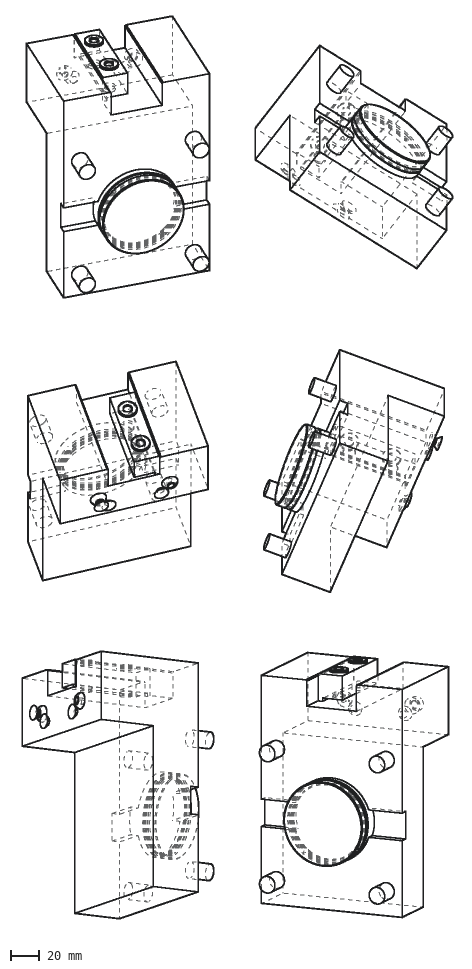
import cadquery as cq


body_length = 79.0
body_width = 108.0
body_height = 163.4
jaw_height = 48.7
leg_thickness = 36.4

channel_width = 37.7
channel_depth = 18.9
channel_chamfer = 0.8
channel_floor = body_height - channel_depth

block_width = 18.7
block_length = 59.8
block_setback = 0.5
block_rise = 0.7
block_gap = 2.3
block_foot_width = 3.5
block_chamfer = 0.58
clamp_screw_first_x = 14.5
clamp_screw_pitch = 32.0
clamp_screw_y = -9.1
clamp_shank_diameter = 8.6
clamp_head_diameter = 13.2
clamp_head_height = 1.5
clamp_head_chamfer = 0.3
clamp_socket_diameter = 6.3
clamp_socket_depth = 1.3

boss_z = 64.9
boss_radius = 30.1
boss_length = 15.0
boss_chamfer = 0.7
groove_start = 4.6
groove_width = 3.8
ring_thickness = 3.3
ring_seat = 0.2
groove_depth = ring_thickness - ring_seat
key_slot_height = 19.7
key_slot_depth = 6.0

pin_diameter = 12.0
pin_length = 16.2
pin_spacing_y = 84.1
pin_spacing_z = 94.0

nozzle_y = 26.0
nozzle_z = 132.9
dome_radius = 5.8
dome_height = 3.3
dome_tip_radius = 3.0
dome_bulge_radius = 5.0
dome_bulge_height = 2.0
dome_socket_diameter = 4.3
dome_socket_depth = 5.0
nozzle_reach = 7.5
neck_radius = 2.6
flare_radius = 5.1
flare_length = 3.0
neck_length = nozzle_reach - flare_length - dome_height
side_flare_y = 19.2
side_flare_z = 126.1


def box(x_range, y_range, z_range):
    """Axis-aligned block between the given limits."""
    size = [high - low for low, high in (x_range, y_range, z_range)]
    corner = (x_range[0], y_range[0], z_range[0])
    return cq.Workplane("XY").box(*size, centered=False).translate(corner)


def rod(x_start, x_end, y, z, diameter):
    """Round bar along X."""
    plane = cq.Workplane("YZ", origin=(x_start, y, z))
    return plane.circle(diameter / 2).extrude(x_end - x_start)


def make_body():
    outline = [
        (0, body_height),
        (body_length, body_height),
        (body_length, 0),
        (body_length - leg_thickness, 0),
        (body_length - leg_thickness, body_height - jaw_height),
        (0, body_height - jaw_height),
    ]
    body = cq.Workplane("XZ").polyline(outline).close().extrude(body_width / 2, both=True)

    half_channel = channel_width / 2
    half_mouth = half_channel + channel_chamfer
    channel_outline = [
        (-half_channel, channel_floor),
        (half_channel, channel_floor),
        (half_channel, body_height - channel_chamfer),
        (half_mouth, body_height),
        (-half_mouth, body_height),
        (-half_channel, body_height - channel_chamfer),
    ]
    channel = cq.Workplane("YZ").polyline(channel_outline).close().extrude(body_length)

    key_slot = box(
        (body_length - key_slot_depth, body_length),
        (-body_width / 2, body_width / 2),
        (boss_z - key_slot_height / 2, boss_z + key_slot_height / 2),
    )
    return body.cut(channel).cut(key_slot)


def make_clamp_block():
    """Block against the -Y channel wall, standing on a narrow foot along that wall."""
    wall_y = -channel_width / 2
    inner_y = wall_y + block_width
    foot_y = wall_y + block_foot_width
    top = body_height + block_rise
    underside = channel_floor + block_gap
    outline = [
        (wall_y, channel_floor),
        (foot_y, channel_floor),
        (foot_y, underside),
        (inner_y, underside),
        (inner_y, top),
        (wall_y + block_chamfer, top),
        (wall_y, top - block_chamfer),
    ]
    plane = cq.Workplane("YZ", origin=(block_setback, 0, 0))
    block = plane.polyline(outline).close().extrude(block_length)

    for x in (clamp_screw_first_x, clamp_screw_first_x + clamp_screw_pitch):
        shank = cq.Workplane("XY", origin=(x, clamp_screw_y, channel_floor))
        shank = shank.circle(clamp_shank_diameter / 2).extrude(block_gap)
        head = cq.Workplane("XY", origin=(x, clamp_screw_y, top))
        head = head.circle(clamp_head_diameter / 2).extrude(clamp_head_height)
        head = head.faces(">Z").chamfer(clamp_head_chamfer)
        head = head.faces(">Z").workplane().hole(clamp_socket_diameter, clamp_socket_depth)
        block = block.union(shank).union(head)
    return block


def make_boss():
    """Boss turned about X, reaching down to the key slot floor."""
    groove_x = body_length + groove_start
    groove_radius = boss_radius - groove_depth
    boss_end = body_length + boss_length
    boss = rod(body_length - key_slot_depth, boss_end, 0, boss_z, 2 * boss_radius)
    boss = boss.faces(">X").chamfer(boss_chamfer)
    groove = rod(groove_x, groove_x + groove_width, 0, boss_z, 2 * boss_radius)
    groove = groove.cut(rod(groove_x, groove_x + groove_width, 0, boss_z, 2 * groove_radius))

    ring_radius = ring_thickness / 2
    ring_x = groove_x + ring_radius - ring_seat
    axis_offset = ring_radius - boss_radius
    ring = cq.Workplane("XZ").center(ring_x, boss_z - axis_offset).circle(ring_radius)
    ring = ring.revolve(360, (0, axis_offset, 0), (1, axis_offset, 0))
    return boss.cut(groove).union(ring)


def make_pins():
    pins = cq.Workplane("YZ", origin=(body_length, 0, boss_z))
    pins = pins.rarray(pin_spacing_y, pin_spacing_z, 2, 2)
    return pins.circle(pin_diameter / 2).extrude(pin_length)


def turned(profile_plane, y, z):
    """Close the (x, radius) profile, turn it about X and place its axis at (y, z)."""
    return profile_plane.close().revolve(360, (0, 0, 0), (1, 0, 0)).translate((0, y, z))


def make_dome(y, z):
    profile = cq.Workplane("XY").lineTo(0, dome_radius)
    profile = profile.threePointArc(
        (-dome_bulge_height, dome_bulge_radius), (-dome_height, dome_tip_radius)
    )
    return turned(profile.lineTo(-dome_height, 0), y, z)


def make_flare(tip_x, y, z):
    """Cone that widens toward -X, on a straight neck that joins the part behind it."""
    neck_x = tip_x + flare_length
    profile = cq.Workplane("XY").moveTo(tip_x, 0).lineTo(tip_x, flare_radius)
    profile = profile.lineTo(neck_x, neck_radius).lineTo(neck_x + neck_length, neck_radius)
    return turned(profile.lineTo(neck_x + neck_length, 0), y, z)


def make_nozzles():
    flared = make_dome(nozzle_y, nozzle_z).union(make_flare(-nozzle_reach, nozzle_y, nozzle_z))
    nozzles = flared.union(make_dome(-nozzle_y, nozzle_z))
    for side in (-1, 1):
        nozzles = nozzles.union(make_flare(-flare_length, side * side_flare_y, side_flare_z))
    return nozzles


def make_dome_socket():
    """Round socket in the plain dome, running on into the jaw."""
    socket_end = dome_socket_depth - dome_height
    return rod(-dome_height, socket_end, -nozzle_y, nozzle_z, dome_socket_diameter)


result = make_body()
for feature in (make_clamp_block(), make_boss(), make_pins(), make_nozzles()):
    result = result.union(feature)
result = result.cut(make_dome_socket())